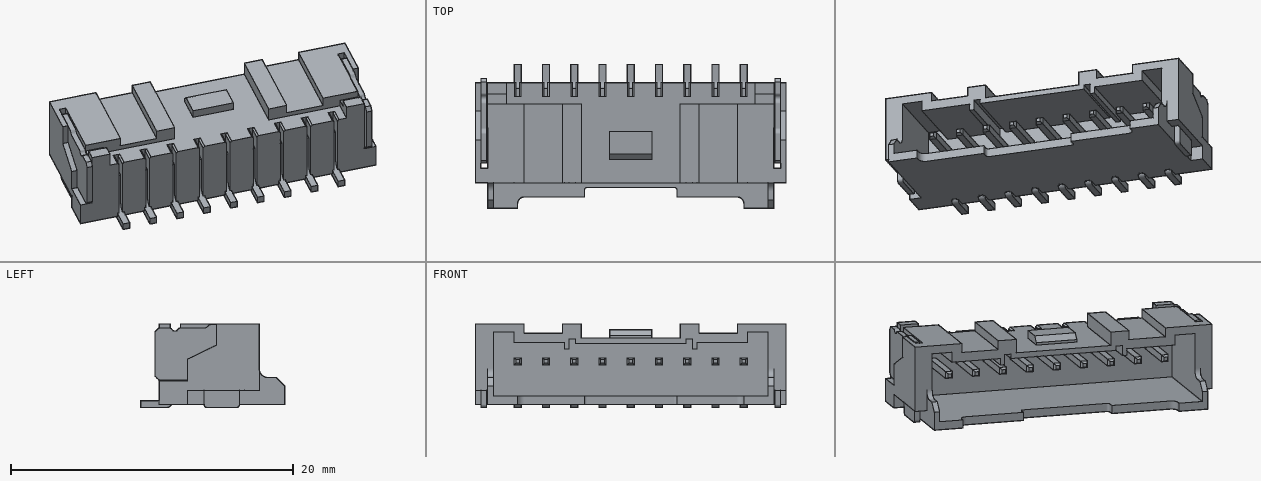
import cadquery as cq


SIDES = (-1, 1)

length = 22.0
height = 5.7
depth = 7.1
half_length = length / 2
hood_front = -depth
hood_rear = -1.5
roof_low = 4.72
roof_mid = 5.05

end_block_inner = 7.54
rib_outer = 4.84
rib_inner = 3.5
post_inner = 8.8
post_depth = 0.8
gap_floor = 5.2

bump_width = 3.0
bump_rear = -3.45
bump_depth = 2.0
bump_top = 5.3
bump_chamfer = 0.4

floor_top = 0.6
cavity_rear = -1.6
cavity_half = 9.73
cavity_top = 5.12
corner_inner = 8.27
side_ceiling = 4.39
key_outer = 4.69
key_inner = 4.36
key_bottom = 3.92
groove_inner = 3.9
groove_top = 4.65
mid_ceiling = 4.33

lip_depth = 1.8
lip_front = hood_front - lip_depth
relief_half = 8.0
relief_edge = hood_front - 1.0
relief_fillet = 0.47
deep_relief_half = 3.27
deep_relief_edge = hood_front - 0.33
deep_relief_fillet = 0.18

cheek_height = 1.92
cheek_fillet = 0.6
cheek_chamfer = 0.6

tab_outer = 10.6
tab_thickness = 0.4
tab_rear = 0.3
tab_front = -5.7
tab_bottom = 1.75
tab_rear_top = 5.42
tab_front_top = 5.65
tab_rise_start = -3.32
tab_rise_end = -3.57
tab_rise_fillet = 0.2
tab_corner = 0.27
tab_front_chamfer = 0.2
foot_rear = -3.18
foot_bottom = -0.22
foot_fillet = -foot_bottom
dimple_y = -1.12
dimple_z = 5.46
dimple_radius = 0.25
dimple_lip_radius = 0.2
slot_inner = 10.13
slot_front = -6.05
slot_floor = 1.67

window_low_y = -2.0
window_low_z = 3.2
window_high_y = -4.05
window_high_z = 4.2
step_height = 1.0

pin_count = 9
pin_pitch = 2.0
pin_size = 0.5
pin_axis_z = 3.06
pin_tip_y = -5.75
pin_tip_inset = 0.12
pin_tip_length = 0.25
stem_rear = -0.4
stem_front = stem_rear - pin_size
tail_end = 1.3
tail_top = foot_bottom + pin_size
tail_bend_inner = 0.55
tail_bend_outer = 0.35
pin_slot_depth = 1.0
pin_slot_width = 0.25
pin_slot_chamfer = 0.12


def box(x0, x1, y0, y1, z0, z1):
    """Block between two opposite corners, given in any order along each axis."""
    size = (abs(x1 - x0), abs(y1 - y0), abs(z1 - z0))
    centre = ((x0 + x1) / 2, (y0 + y1) / 2, (z0 + z1) / 2)
    return cq.Workplane("XY").box(*size).translate(centre)


def side_plate(points, x0, x1):
    """Plate with a (Y, Z) outline, reaching from x0 to x1."""
    start = min(x0, x1)
    return cq.Workplane("YZ").workplane(offset=start).polyline(points).close().extrude(abs(x1 - x0))


def fillet_edge_at(body, point, radius):
    """Round the edge of a body whose middle lies nearest to a point."""
    return body.edges(cq.selectors.NearestToPointSelector(point)).fillet(radius)


def mirrored(points):
    """Outline symmetric about X = 0 from the points of its right half."""
    return points + [(-x, z) for x, z in reversed(points)]


def cavity():
    ceiling = [
        (cavity_half, floor_top),
        (cavity_half, cavity_top),
        (corner_inner, cavity_top),
        (corner_inner, side_ceiling),
        (key_outer, side_ceiling),
        (key_outer, key_bottom),
        (key_inner, key_bottom),
        (key_inner, groove_top),
        (groove_inner, groove_top),
        (groove_inner, mid_ceiling),
    ]
    outline = cq.Workplane("XZ").workplane(offset=-cavity_rear).polyline(mirrored(ceiling)).close()
    return outline.extrude(cavity_rear - hood_front)


def floor_lip():
    lip = box(-slot_inner, slot_inner, lip_front, hood_front, 0, floor_top)
    relief = box(-relief_half, relief_half, lip_front, relief_edge, 0, floor_top)
    relief = relief.edges("|Z and >Y").fillet(relief_fillet)
    deep = box(-deep_relief_half, deep_relief_half, lip_front, deep_relief_edge, 0, floor_top)
    deep = deep.edges("|Z and >Y").fillet(deep_relief_fillet)
    return lip.cut(relief).cut(deep)


def cheek(side):
    fillet_centre_y = hood_front - cheek_fillet
    fillet_centre_z = cheek_height + cheek_fillet
    arc_end = (fillet_centre_y, cheek_height)
    arc_reach = cheek_fillet * 0.5 ** 0.5
    arc_middle = (fillet_centre_y + arc_reach, fillet_centre_z - arc_reach)
    outline = (
        cq.Workplane("YZ")
        .workplane(offset=min(side * cavity_half, side * slot_inner))
        .moveTo(hood_front, 0)
        .lineTo(hood_front, fillet_centre_z)
        .threePointArc(arc_middle, arc_end)
        .lineTo(lip_front + cheek_chamfer, cheek_height)
        .lineTo(lip_front, cheek_height - cheek_chamfer)
        .lineTo(lip_front, 0)
        .close()
    )
    return outline.extrude(slot_inner - cavity_half)


def latch_bump():
    bump = box(-bump_width / 2, bump_width / 2, bump_rear - bump_depth, bump_rear, roof_low, bump_top)
    return bump.edges(">Z and <Y").chamfer(bump_chamfer)


def end_cuts(side):
    """Tab slot, outer window, step and post gap at one end of the housing."""
    inner = side * slot_inner
    middle = side * tab_outer
    outer = side * half_length
    upper_slot = box(inner, middle, slot_front, 0, slot_floor, height)
    lower_slot = box(inner, middle, slot_front, foot_rear, 0, slot_floor)
    window_outline = [
        (0, slot_floor),
        (window_low_y, slot_floor),
        (window_low_y, window_low_z),
        (window_high_y, window_high_z),
        (window_high_y, height),
        (0, height),
    ]
    window = side_plate(window_outline, middle, outer)
    step = box(inner, outer, hood_front, window_low_y, 0, step_height)
    post_gap = box(inner, side * post_inner, hood_rear, -post_depth, gap_floor, height)
    return upper_slot.union(lower_slot).union(window).union(step).union(post_gap)


def pin_slot(x):
    """Vertical slot in the rear wall with a chamfered mouth in the roof."""
    half = pin_slot_width / 2
    outline = [
        (half, 0),
        (half, roof_low - pin_slot_chamfer),
        (half + pin_slot_chamfer, roof_low),
    ]
    slot = cq.Workplane("XZ").polyline(mirrored(outline)).close().extrude(pin_slot_depth)
    return slot.translate((x, 0, 0))


def contact(x):
    """Square wire: a mating pin, a stem down the rear wall and a solder tail."""
    half = pin_size / 2
    taper_start = pin_tip_y + pin_tip_length
    pin = box(x - half, x + half, taper_start, stem_rear, pin_axis_z - half, pin_axis_z + half)
    tip_size = pin_size - 2 * pin_tip_inset
    tip = (
        cq.Workplane("XZ", origin=(x, taper_start, pin_axis_z))
        .rect(pin_size, pin_size)
        .workplane(offset=pin_tip_length)
        .rect(tip_size, tip_size)
        .loft(ruled=True)
    )
    pin = pin.union(tip)
    tail_outline = [
        (stem_front, pin_axis_z),
        (stem_front, foot_bottom),
        (tail_end, foot_bottom),
        (tail_end, tail_top),
        (stem_rear, tail_top),
        (stem_rear, pin_axis_z),
    ]
    tail = side_plate(tail_outline, x - half, x + half)
    tail = fillet_edge_at(tail, (x, stem_front, foot_bottom), tail_bend_outer)
    tail = fillet_edge_at(tail, (x, stem_rear, tail_top), tail_bend_inner)
    return pin.union(tail)


def build_housing():
    body = box(-half_length, half_length, hood_front, 0, 0, height)
    body = body.cut(box(-post_inner, post_inner, hood_rear, 0, roof_low, height))
    body = body.cut(box(-rib_inner, rib_inner, hood_front, hood_rear, roof_low, height))
    body = body.cut(cavity())
    body = body.union(floor_lip()).union(latch_bump())
    for side in SIDES:
        recess_start = side * rib_outer
        recess_end = side * end_block_inner
        body = body.cut(box(recess_start, recess_end, hood_front, hood_rear, roof_mid, height))
        body = body.cut(end_cuts(side))
        body = body.union(cheek(side))
    for index in range(pin_count):
        x = (index - (pin_count - 1) / 2) * pin_pitch
        body = body.cut(pin_slot(x))
        body = body.union(contact(x))
    return body


def build_tab(side):
    """Flat solder tab with a dimple in its upper edge and a foot below the housing."""
    outline = [
        (tab_rear - tab_corner, tab_rear_top),
        (tab_rear, tab_rear_top - tab_corner),
        (tab_rear, tab_bottom + tab_corner),
        (tab_rear - tab_corner, tab_bottom),
        (foot_rear, tab_bottom),
        (foot_rear, foot_bottom),
        (tab_front, foot_bottom),
        (tab_front, tab_front_top - tab_front_chamfer),
        (tab_front + tab_front_chamfer, tab_front_top),
        (tab_rise_end, tab_front_top),
        (tab_rise_start, tab_rear_top),
    ]
    outer = side * tab_outer
    inner = side * (tab_outer - tab_thickness)
    tab = side_plate(outline, outer, inner)
    tab = tab.faces("<Z").edges("|X").fillet(foot_fillet)
    dimple = (
        cq.Workplane("YZ")
        .workplane(offset=min(outer, inner))
        .center(dimple_y, dimple_z)
        .circle(dimple_radius)
        .extrude(tab_thickness)
    )
    tab = tab.cut(dimple)
    middle = (outer + inner) / 2
    half_mouth = (dimple_radius ** 2 - (dimple_z - tab_rear_top) ** 2) ** 0.5
    for lip_y in (dimple_y - half_mouth, dimple_y + half_mouth):
        tab = fillet_edge_at(tab, (middle, lip_y, tab_rear_top), dimple_lip_radius)
    for rise_y, rise_z in ((tab_rise_start, tab_rear_top), (tab_rise_end, tab_front_top)):
        tab = fillet_edge_at(tab, (middle, rise_y, rise_z), tab_rise_fillet)
    return tab


housing = build_housing()
tabs = [build_tab(side) for side in SIDES]

result = cq.Compound.makeCompound([housing.val(), *[tab.val() for tab in tabs]])